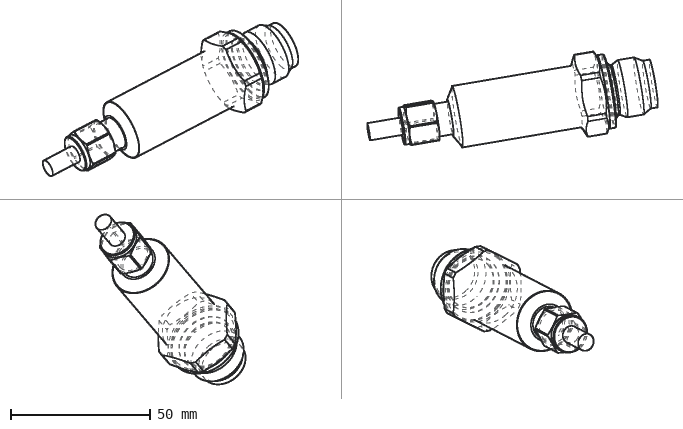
import cadquery as cq
import math

LENGTH = 104.1

CABLE_DIAMETER = 6.4
COLLAR_START = 12.0
COLLAR_DIAMETER = 13.6
COLLAR_CHAMFER = 0.3

GLAND_NUT_START = 13.8
GLAND_NUT_END = 24.8
GLAND_NUT_FLATS = 14.1
GLAND_NUT_CORNERS = 15.9
GLAND_NUT_CHAMFER = 0.5

NECK_DIAMETER = 12.0
SHOULDER_START = 29.9
SHOULDER_END = 32.4
SHOULDER_TIP_DIAMETER = 13.6
SHOULDER_BASE_DIAMETER = 22.0
BODY_DIAMETER = 22.5

BODY_HEX_START = 75.9
BODY_HEX_END = 85.8
BODY_HEX_FLATS = 27.0
BODY_HEX_CORNERS = 30.0
BODY_HEX_LOWER_CHAMFER = 1.8
BODY_HEX_UPPER_CHAMFER = 1.2
BODY_HEX_FACE_DIAMETER = 25.2
BODY_HEX_ROOT_RADIUS = 0.6

FLANGE_END = 88.1
FLANGE_DIAMETER = 26.9
FLANGE_CHAMFER = 0.3

UNDERCUT_DIAMETER = 18.2
UNDERCUT_FLARE_DIAMETER = 20.9
UNDERCUT_FLARE_END = 88.5
UNDERCUT_START = 89.6
UNDERCUT_END = 90.3
THREAD_DIAMETER = 20.9
THREAD_START = 92.8
THREAD_END = 98.7
PILOT_START = 101.6
PILOT_DIAMETER = 17.5


def turned(profile):
    """Revolve (diameter, Y) points around the Y axis, closing the profile along the axis."""
    first_y = profile[0][1]
    last_y = profile[-1][1]
    points = [(0, first_y)]
    points += [(diameter / 2, y) for diameter, y in profile]
    points += [(0, last_y)]
    return cq.Workplane("XY").polyline(points).close().revolve(360, (0, 0, 0), (0, 1, 0))


def hexagon(flats, start, end, turn, envelope):
    """Hexagonal prism along Y whose corners are trimmed by a turned envelope."""
    prism = (
        cq.Workplane("XZ", origin=(0, start, 0))
        .polygon(6, flats / math.cos(math.pi / 6))
        .extrude(start - end)
        .rotate((0, 0, 0), (0, 1, 0), turn)
    )
    return prism.intersect(turned(envelope))


spindle = turned([
    (CABLE_DIAMETER, 0),
    (CABLE_DIAMETER, COLLAR_START),
    (COLLAR_DIAMETER - 2 * COLLAR_CHAMFER, COLLAR_START),
    (COLLAR_DIAMETER, COLLAR_START + COLLAR_CHAMFER),
    (COLLAR_DIAMETER, GLAND_NUT_START),
    (NECK_DIAMETER, GLAND_NUT_START),
    (NECK_DIAMETER, SHOULDER_START),
    (SHOULDER_TIP_DIAMETER, SHOULDER_START),
    (SHOULDER_BASE_DIAMETER, SHOULDER_END),
    (BODY_DIAMETER, SHOULDER_END),
    (BODY_DIAMETER, BODY_HEX_END),
    (FLANGE_DIAMETER, BODY_HEX_END),
    (FLANGE_DIAMETER, FLANGE_END - FLANGE_CHAMFER),
    (FLANGE_DIAMETER - 2 * FLANGE_CHAMFER, FLANGE_END),
    (UNDERCUT_FLARE_DIAMETER, FLANGE_END),
    (UNDERCUT_FLARE_DIAMETER, UNDERCUT_FLARE_END),
    (UNDERCUT_DIAMETER, UNDERCUT_START),
    (UNDERCUT_DIAMETER, UNDERCUT_END),
    (THREAD_DIAMETER, THREAD_START),
    (THREAD_DIAMETER, THREAD_END),
    (PILOT_DIAMETER, PILOT_START),
    (PILOT_DIAMETER, LENGTH),
])

gland_nut = hexagon(
    GLAND_NUT_FLATS, GLAND_NUT_START, GLAND_NUT_END, 0,
    [
        (COLLAR_DIAMETER, GLAND_NUT_START),
        (GLAND_NUT_CORNERS, GLAND_NUT_START + GLAND_NUT_CHAMFER),
        (GLAND_NUT_CORNERS, GLAND_NUT_END - GLAND_NUT_CHAMFER),
        (COLLAR_DIAMETER, GLAND_NUT_END),
    ],
)

body_hexagon = hexagon(
    BODY_HEX_FLATS, BODY_HEX_START, BODY_HEX_END, 30,
    [
        (BODY_DIAMETER, BODY_HEX_START),
        (BODY_HEX_CORNERS, BODY_HEX_START + BODY_HEX_LOWER_CHAMFER),
        (BODY_HEX_CORNERS, BODY_HEX_END - BODY_HEX_UPPER_CHAMFER),
        (BODY_HEX_FACE_DIAMETER, BODY_HEX_END),
    ],
)

assembled = spindle.union(gland_nut).union(body_hexagon)

hexagon_root = cq.selectors.BoxSelector(
    (-BODY_DIAMETER, BODY_HEX_START - BODY_HEX_ROOT_RADIUS, -BODY_DIAMETER),
    (BODY_DIAMETER, BODY_HEX_START + BODY_HEX_ROOT_RADIUS, BODY_DIAMETER),
    boundingbox=True,
)
result = assembled.edges(hexagon_root).edges("%CIRCLE").fillet(BODY_HEX_ROOT_RADIUS)